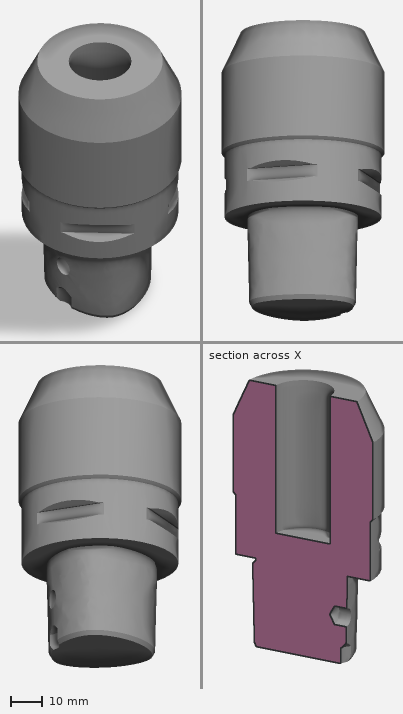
import cadquery as cq
import math

total_height = 90.0
shank_chamfer_top = 1.4
taper_top = 27.0
flange_bottom = 30.0
flange_top = 50.0
body_edge = 51.0
cone_bottom = 77.1

flange_radius = 25.0
body_radius = 26.0
nose_radius = 20.0
bore_radius = 10.0
bore_depth = 50.0

shank_top_radius = 17.6
shank_low_radius = 17.0
shank_end_radius = 16.2
lobe_height = 1.2
outline_points = 48

slot_count = 4
slot_start_angle = 45.0
slot_mid_height = 40.0
slot_height = 4.0
slot_floor = 22.05
slot_wall_end = 22.7
slot_mouth_height = 6.8

relief_radius = 17.6
relief_wall_height = 0.7

side_hole_height = 16.0
side_hole_radius = 3.1
side_hole_floor = 11.7
notch_radius = 4.5
notch_height = 5.2
notch_axis = 18.5
notch_tip_half_angle = 45.0
hole_tip_half_angle = 60.0

overshoot = 9.0


def lobe_point(angle, mean_radius):
    """Point of a constant-width curve with one lobe on +Y, from its support function."""
    phase = 3 * (angle - math.pi / 2)
    support = mean_radius + lobe_height * math.cos(phase)
    slope = -3 * lobe_height * math.sin(phase)
    x = support * math.cos(angle) - slope * math.sin(angle)
    y = support * math.sin(angle) + slope * math.cos(angle)
    return x, y


def lobed_wire(mean_radius, z):
    step = 2 * math.pi / outline_points
    points = [lobe_point(i * step - math.pi / 2, mean_radius) for i in range(outline_points)]
    return cq.Workplane("XY", origin=(0, 0, z)).spline(points, periodic=True).close().val()


def lobed_section(low_radius, low_z, high_radius, high_z):
    wires = [lobed_wire(low_radius, low_z), lobed_wire(high_radius, high_z)]
    return cq.Workplane(cq.Solid.makeLoft(wires, True))


def drill(radius, depth, half_angle):
    """Drill standing on the XY plane, with a conical tip above the given depth."""
    tip = radius / math.tan(math.radians(half_angle))
    outline = [(0, -overshoot), (radius, -overshoot), (radius, depth), (0, depth + tip)]
    return cq.Workplane("XZ").polyline(outline).close().revolve(360, (0, 0), (0, 1))


def edge_cutter(outline, angle):
    """Straight cutter with an outline in radius and height, turned about Z."""
    length = 2 * flange_radius
    cutter = cq.Workplane("XZ").polyline(outline).close().extrude(length / 2, both=True)
    return cutter.rotate((0, 0, 0), (0, 0, 1), angle)


body_outline = [
    (0, flange_bottom),
    (flange_radius, flange_bottom),
    (flange_radius, flange_top),
    (body_radius, body_edge),
    (body_radius, cone_bottom),
    (nose_radius, total_height),
    (0, total_height),
]
body = cq.Workplane("XZ").polyline(body_outline).close().revolve(360, (0, 0), (0, 1))
bore = cq.Workplane("XY", origin=(0, 0, total_height - bore_depth)).circle(bore_radius).extrude(bore_depth)
body = body.cut(bore)

flare_rise = (slot_mouth_height - slot_height) / 2
flare_slope = flare_rise / (flange_radius - slot_wall_end)
slot_outer = flange_radius + overshoot
slot_half = slot_height / 2
slot_outer_half = slot_half + flare_slope * (slot_outer - slot_wall_end)
slot_outline = [
    (slot_floor, slot_mid_height - slot_half),
    (slot_wall_end, slot_mid_height - slot_half),
    (slot_outer, slot_mid_height - slot_outer_half),
    (slot_outer, slot_mid_height + slot_outer_half),
    (slot_wall_end, slot_mid_height + slot_half),
    (slot_floor, slot_mid_height + slot_half),
]
for i in range(slot_count):
    body = body.cut(edge_cutter(slot_outline, slot_start_angle + i * 360 / slot_count))

shank = lobed_section(shank_end_radius, 0, shank_low_radius, shank_chamfer_top)
shank = shank.union(lobed_section(shank_low_radius, shank_chamfer_top, shank_top_radius, taper_top))
shank = shank.union(lobed_section(shank_top_radius, taper_top, shank_top_radius, flange_bottom))

relief_corner = flange_bottom - relief_wall_height
relief_outline = [
    (relief_radius, flange_bottom),
    (relief_radius, relief_corner),
    (relief_radius + overshoot, relief_corner - overshoot),
    (relief_radius + overshoot, flange_bottom),
]
shank = shank.cut(cq.Workplane("XZ").polyline(relief_outline).close().revolve(360, (0, 0), (0, 1)))

notch = drill(notch_radius, notch_height, notch_tip_half_angle).translate((0, -notch_axis, 0))
shank = shank.cut(notch)

side_hole = drill(side_hole_radius, shank_top_radius - side_hole_floor, hole_tip_half_angle)
side_hole = side_hole.rotate((0, 0, 0), (1, 0, 0), -90)
side_hole = side_hole.translate((0, -shank_top_radius, side_hole_height))
shank = shank.cut(side_hole)

result = body.union(shank)